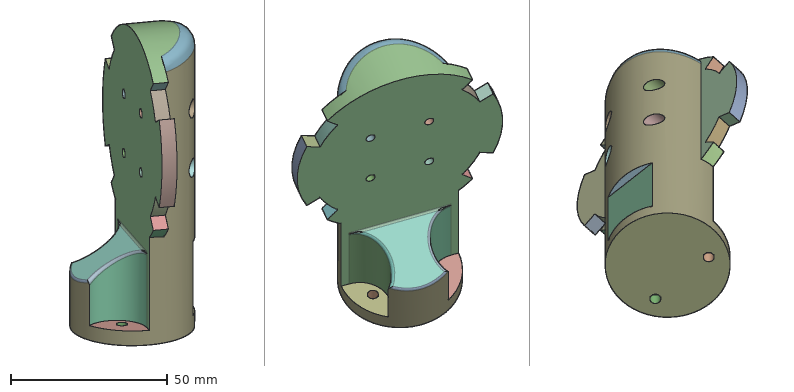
import cadquery as cq
import math

height = 100.0
post_radius = 20.0
base_height = 5.0
crown_fillet = 5.0

disc_radius = 35.0
disc_thickness = 5.0
disc_center_z = height - disc_radius
notch_depth = 5.0
notch_inner_radius = disc_radius - notch_depth
notch_start_angle = 25.0
notch_end_angle = 45.0

disc_hole_diameter = 3.0
disc_hole_spacing = 20.0
clearance_diameter = 6.0

foot_top_z = 30.0
foot_slope_angle = 30.0
foot_rim_fillet = 1.0

scallop_radius = 10.0
scallop_angle = 30.0
base_hole_diameter = 3.5
base_hole_distance = 13.5

relief_depth = 2.5
relief_top_z = 30.0


def polar(radius, angle):
    """Point at the given radius and angle in degrees."""
    turn = math.radians(angle)
    return radius * math.cos(turn), radius * math.sin(turn)


def disc_cylinder(radius, y_start, y_end):
    """Cylinder along Y on the axis of the disc."""
    return (
        cq.Workplane("XZ", origin=(0, y_start, disc_center_z))
        .circle(radius)
        .extrude(y_start - y_end)
    )


def half_space(y_sign):
    """Box covering the column side (+1) or the foot side (-1) of y = 0."""
    size = 2 * height
    return cq.Workplane("XY").box(size, size, size).translate((0, y_sign * height, 0))


def make_column():
    """Half-round column whose top follows the disc, rounded along the crown."""
    column = cq.Workplane("XY").circle(post_radius).extrude(height).intersect(half_space(1))
    lower_box = cq.Workplane("XY").box(
        2 * post_radius, 2 * post_radius, disc_center_z, centered=(True, True, False)
    )
    envelope = disc_cylinder(disc_radius, 0, post_radius).union(lower_box)
    column = column.intersect(envelope)
    crown = cq.selectors.BoxSelector(
        (-post_radius, disc_thickness, disc_center_z + disc_radius / 2),
        (post_radius, post_radius + 1, height + 1),
    )
    return column.edges(crown).fillet(crown_fillet)


def make_disc():
    """Disc with four notches placed symmetrically about both its axes."""
    disc = disc_cylinder(disc_radius, 0, disc_thickness)
    ring = disc_cylinder(disc_radius, 0, disc_thickness).cut(
        disc_cylinder(notch_inner_radius, 0, disc_thickness)
    )
    reach = 2 * disc_radius
    for x_sign in (1, -1):
        for z_sign in (1, -1):
            corners = [polar(reach, angle) for angle in (notch_start_angle, notch_end_angle)]
            wedge = (
                cq.Workplane("XZ", origin=(0, 0, disc_center_z))
                .polyline([(0, 0)] + [(x_sign * x, z_sign * z) for x, z in corners])
                .close()
                .extrude(-disc_thickness)
            )
            disc = disc.cut(ring.intersect(wedge))
    return disc


def cut_scallops(body):
    """Scoop a vertical round scallop from each side, clear out to the post's side."""
    scallop_x, scallop_y = polar(post_radius, -scallop_angle)
    for side in (1, -1):
        scallop = (
            cq.Workplane("XY", origin=(side * scallop_x, scallop_y, base_height))
            .circle(scallop_radius)
            .extrude(height)
        )
        outer_corner = (
            cq.Workplane("XY", origin=(side * (scallop_x + scallop_radius / 2), 0, base_height))
            .rect(scallop_radius, 2 * scallop_radius)
            .extrude(height)
        )
        body = body.cut(scallop).cut(outer_corner)
    return body


def make_foot():
    """Sloped half-round foot with two scallops and a rounded rim."""
    foot = cq.Workplane("XY").circle(post_radius).extrude(height).intersect(half_space(-1))
    slope = math.radians(foot_slope_angle)
    front_z = foot_top_z - post_radius * math.tan(slope)
    side_profile = (
        cq.Workplane("YZ")
        .polyline([(0, 0), (-post_radius, 0), (-post_radius, front_z), (0, foot_top_z)])
        .close()
        .extrude(post_radius, both=True)
    )
    foot = cut_scallops(foot.intersect(side_profile))
    slope_normal = cq.Vector(0, -math.sin(slope), math.cos(slope))
    sloped_face = cq.selectors.ParallelDirSelector(slope_normal)
    return foot.faces(sloped_face).edges("not |X").fillet(foot_rim_fillet)


def make_joint_fillet():
    """Concave fillet between the sloped face and the front of the column."""
    slope = math.radians(foot_slope_angle)
    tangent_length = foot_rim_fillet * math.tan((math.pi / 2 - slope) / 2)
    slope_tangent = (-tangent_length * math.cos(slope), foot_top_z - tangent_length * math.sin(slope))
    wall_tangent = (0, foot_top_z + tangent_length)
    arc_center = (-foot_rim_fillet, wall_tangent[1])
    arc_x, arc_z = polar(foot_rim_fillet, -(90 - foot_slope_angle) / 2)
    arc_middle = (arc_center[0] + arc_x, arc_center[1] + arc_z)
    strip = (
        cq.Workplane("YZ")
        .moveTo(0, foot_top_z)
        .lineTo(*slope_tangent)
        .threePointArc(arc_middle, wall_tangent)
        .close()
        .extrude(post_radius, both=True)
    )
    return cut_scallops(strip)


def drill_disc(body):
    """Four screw holes through the disc, opening into wide bores at the back."""
    hole_centers = cq.Workplane("XZ", origin=(0, 0, disc_center_z)).rarray(
        disc_hole_spacing, disc_hole_spacing, 2, 2
    )
    screw_holes = hole_centers.circle(disc_hole_diameter / 2).extrude(-post_radius)
    bore_centers = cq.Workplane("XZ", origin=(0, disc_thickness, disc_center_z)).rarray(
        disc_hole_spacing, disc_hole_spacing, 2, 2
    )
    bores = bore_centers.circle(clearance_diameter / 2).extrude(-post_radius)
    return body.cut(screw_holes).cut(bores)


def drill_base(body):
    """Two vertical screw holes through the base, one in each scallop floor."""
    hole_x, hole_y = polar(base_hole_distance, -scallop_angle)
    holes = (
        cq.Workplane("XY")
        .pushPoints([(hole_x, hole_y), (-hole_x, hole_y)])
        .circle(base_hole_diameter / 2)
        .extrude(base_height)
    )
    return body.cut(holes)


def cut_relief(body):
    """Flat cut across the back of the column, just above the base."""
    relief = (
        cq.Workplane("XY", origin=(0, post_radius - relief_depth / 2, base_height))
        .rect(2 * post_radius, relief_depth)
        .extrude(relief_top_z - base_height)
    )
    return body.cut(relief)


disc = make_disc()
column = make_column().cut(disc_cylinder(disc_radius, 0, disc_thickness))
result = column.union(disc).union(make_foot()).union(make_joint_fillet())
result = drill_disc(result)
result = drill_base(result)
result = cut_relief(result)